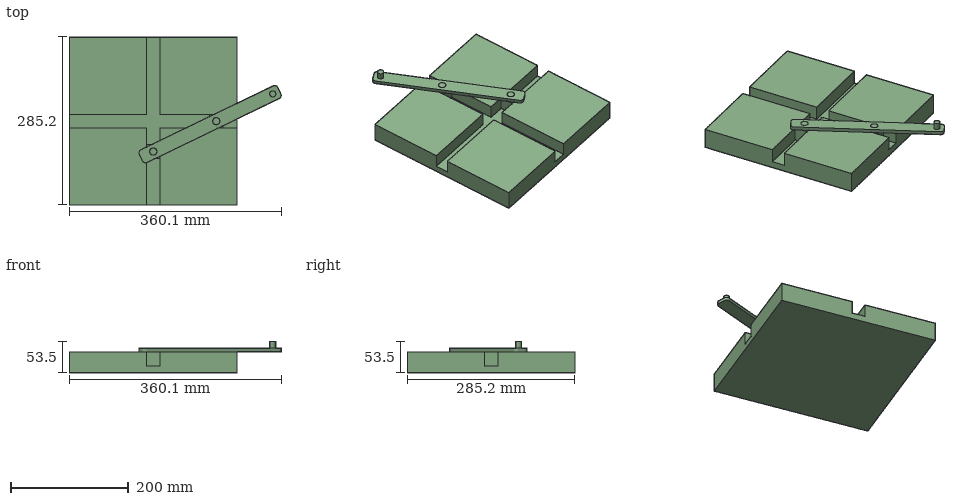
import cadquery as cq
import math

base_side = 285.2
base_height = 36.0
slot_width = 23.5
slot_depth = 24.0
slot_floor = base_height - slot_depth

slider_side = slot_width
pivot_diameter = 12.2

arm_thickness = 6.0
arm_width = 24.0
arm_corner_radius = 6.0
pivot_spacing = 119.0
handle_reach = 106.5
inner_overhang = 23.5
outer_overhang = 12.5
handle_diameter = 10.5
handle_height = 11.5

arm_angle = 25.8
inner_pivot_y = -pivot_spacing * math.sin(math.radians(arm_angle))
outer_pivot_x = pivot_spacing * math.cos(math.radians(arm_angle))
slider_positions = [(0, inner_pivot_y), (outer_pivot_x, 0)]


def make_base():
    """Square block with one slot along X and one along Y."""
    block = cq.Workplane("XY").box(base_side, base_side, base_height, centered=(True, True, False))
    slots = cq.Workplane("XY").workplane(offset=slot_floor)
    slot_x = slots.rect(base_side, slot_width).extrude(slot_depth)
    slot_y = slots.rect(slot_width, base_side).extrude(slot_depth)
    return block.cut(slot_x).cut(slot_y)


def make_slider(x, y):
    """Block resting on the slot floor, with a pin flush with the arm's top."""
    block = (
        cq.Workplane("XY", origin=(x, y, slot_floor))
        .rect(slider_side, slider_side)
        .extrude(slot_depth)
    )
    pin = (
        cq.Workplane("XY", origin=(x, y, base_height))
        .circle(pivot_diameter / 2)
        .extrude(arm_thickness)
    )
    return block.union(pin)


def make_arm():
    """Bar along X with the inner pivot at the origin, then turned into its pose."""
    handle_x = pivot_spacing + handle_reach
    arm_length = inner_overhang + handle_x + outer_overhang
    bar = (
        cq.Workplane("XY")
        .box(arm_length, arm_width, arm_thickness, centered=(False, True, False))
        .translate((-inner_overhang, 0, 0))
        .edges("|Z")
        .fillet(arm_corner_radius)
    )
    pivot_holes = (
        cq.Workplane("XY")
        .pushPoints([(0, 0), (pivot_spacing, 0)])
        .circle(pivot_diameter / 2)
        .extrude(arm_thickness)
    )
    handle = (
        cq.Workplane("XY", origin=(handle_x, 0, arm_thickness))
        .circle(handle_diameter / 2)
        .extrude(handle_height)
    )
    arm = bar.cut(pivot_holes).union(handle)
    return arm.rotate((0, 0, 0), (0, 0, 1), arm_angle).translate((0, inner_pivot_y, base_height))


base = make_base()
sliders = [make_slider(x, y) for x, y in slider_positions]
arm = make_arm()

result = cq.Compound.makeCompound([base.val(), *[slider.val() for slider in sliders], arm.val()])